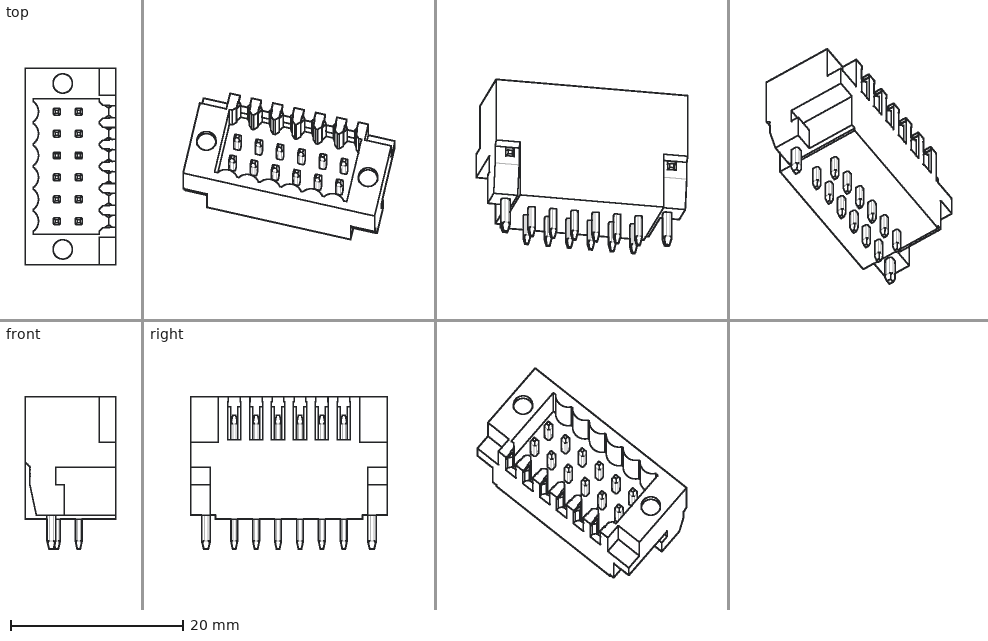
import cadquery as cq


depth = 10.5
length = 22.8
height = 14.2
half_length = length / 2

rows = 6
row_span = 12.7
pitch = row_span / (rows - 1)
first_column_x = 3.67
column_x = (first_column_x, first_column_x + pitch)
row_y = [i * pitch - row_span / 2 for i in range(rows)]
pin_low = -3.49
pin_high = 12.04
pin_width = 0.8
pin_corner = 0.2
pin_tip = 0.36
taper = 1.0

cavity_floor = 7.0
cavity_half_length = 7.87
cavity_x0 = 0.95
cavity_x1 = 8.6
scallop_chord = 2.33
scallop_rise = 0.6

groove_x = 9.71
web_top = 9.2
slot_width = 1.53
lip_slot_width = 1.37
throat_width = 0.85
lip_height = 0.6
ridge_drop = 1.16
ridge_x0 = 9.17
ridge_x1 = 10.17
finger_nose = pitch - scallop_chord
nose_length = (pitch - slot_width - finger_nose) / 2

end_length = 2.85
end_bottom = 0.45
latch_notch_length = 3.17
latch_notch_floor = 8.94
side_notch_length = 2.28
side_notch_top = 6.02
side_notch_step = 4.0
side_notch_x0 = 3.53
side_notch_x1 = 4.51
relief_depth = 0.55
relief_top = 6.61
relief_slope_top = 4.0
relief_foot = 1.3
hole_x = 4.35
hole_diameter = 2.23
hole_depth = 1.0

anchor_x = 3.03
anchor_y = 9.62
anchor_width = 1.03
anchor_corner = 0.3
anchor_tip = 0.52
anchor_root = 3.42
anchor_head_z = 5.5
anchor_head_tip = 0.45


def block(x0, x1, y0, y1, z0, z1):
    """Box given by its limits along each axis."""
    return cq.Workplane("XY").box(x1 - x0, y1 - y0, z1 - z0, centered=False).translate((x0, y0, z0))


def side_prism(points, y0, y1):
    """XZ outline extruded from y0 to y1."""
    return cq.Workplane("XZ", origin=(0, y0, 0)).polyline(points).close().extrude(y0 - y1)


def plan_prism(points, z0, z1):
    """XY outline extruded from z0 to z1."""
    return cq.Workplane("XY", origin=(0, 0, z0)).polyline(points).close().extrude(z1 - z0)


def pin(width, corner, tip, z0, z1, point_top):
    """Square pin with rounded corners, pointed below and, if asked, above."""
    half = width / 2
    half_tip = tip / 2
    outline = [(-half_tip, z0), (half_tip, z0), (half, z0 + taper)]
    if point_top:
        outline += [(half, z1 - taper), (half_tip, z1), (-half_tip, z1), (-half, z1 - taper)]
    else:
        outline += [(half, z1), (-half, z1)]
    outline += [(-half, z0 + taper)]
    bar = block(-half, half, -half, half, z0, z1).edges("|Z").fillet(corner)
    wedge = side_prism(outline, -half, half)
    return bar.intersect(wedge).intersect(wedge.rotate((0, 0, 0), (0, 0, 1), 90))


def cavity():
    """Rectangular well whose plain wall bulges inward at every row."""
    well = block(cavity_x0, cavity_x1, -cavity_half_length, cavity_half_length, cavity_floor, height)
    for y in row_y:
        bulge = (
            cq.Workplane("XY", origin=(0, 0, cavity_floor))
            .moveTo(cavity_x0, y - scallop_chord / 2)
            .threePointArc((cavity_x0 + scallop_rise, y), (cavity_x0, y + scallop_chord / 2))
            .close()
            .extrude(height - cavity_floor)
        )
        well = well.cut(bulge)
    return well


def finger_slot(y):
    """Opening between two fingers: flared mouth, throat under the ridges, narrower lip at the top."""
    mouth = scallop_chord / 2
    half = slot_width / 2
    half_lip = lip_slot_width / 2
    half_throat = throat_width / 2
    ridge_top = height - ridge_drop
    lip_bottom = height - lip_height

    x_mouth = cavity_x1 + nose_length
    flare = [(cavity_x1, y - mouth), (x_mouth, y - half), (x_mouth, y + half), (cavity_x1, y + mouth)]
    slot = plan_prism(flare, cavity_floor, height)
    slot = slot.union(block(x_mouth, ridge_x0, y - half, y + half, cavity_floor, height))
    slot = slot.union(block(ridge_x0, groove_x, y - half, y + half, ridge_top, height))
    slot = slot.union(block(groove_x, depth, y - half, y + half, ridge_top, lip_bottom))
    slot = slot.union(block(groove_x, depth, y - half_lip, y + half_lip, lip_bottom, height))

    inner = [
        (ridge_x0, y - half), (groove_x, y - half_throat),
        (groove_x, y + half_throat), (ridge_x0, y + half),
    ]
    outer = [
        (groove_x, y - half_throat), (ridge_x1, y - half), (depth, y - half),
        (depth, y + half), (ridge_x1, y + half), (groove_x, y + half_throat),
    ]
    slot = slot.union(plan_prism(inner, cavity_floor, ridge_top))
    return slot.union(plan_prism(outer, web_top, ridge_top))


def end_cuts():
    """All material removed from the -Y end block."""
    y0 = -half_length
    y_end = y0 + end_length
    relief = [
        (0, 0), (0, relief_top), (relief_depth, relief_top - relief_depth),
        (relief_depth, relief_slope_top), (relief_foot, end_bottom), (relief_foot, 0),
    ]
    side_notch = [
        (side_notch_x1, 0), (side_notch_x1, side_notch_step), (side_notch_x0, side_notch_step),
        (side_notch_x0, side_notch_top), (depth, side_notch_top), (depth, 0),
    ]
    hole = (
        cq.Workplane("XY", origin=(hole_x, -anchor_y, height - hole_depth))
        .circle(hole_diameter / 2)
        .extrude(hole_depth)
    )
    cuts = side_prism(relief, y0, y_end)
    cuts = cuts.union(block(0, depth, y0, y_end, 0, end_bottom))
    cuts = cuts.union(side_prism(side_notch, y0, y0 + side_notch_length))
    cuts = cuts.union(block(cavity_x1, depth, y0, y0 + latch_notch_length, latch_notch_floor, height))
    return cuts.union(hole).union(anchor_head_gap())


def anchor_head_gap():
    """Gap round the tapered horizontal end of the anchor pin, whose tip is flush with the relief."""
    head = (
        cq.Workplane("YZ", origin=(relief_depth, -anchor_y, anchor_head_z))
        .rect(anchor_head_tip, anchor_head_tip)
        .workplane(offset=taper)
        .rect(anchor_width, anchor_width)
        .loft()
    )
    pocket = (
        cq.Workplane("YZ", origin=(relief_depth, -anchor_y, anchor_head_z))
        .rect(anchor_width, anchor_width)
        .extrude(taper)
    )
    return pocket.cut(head)


housing = block(0, depth, -half_length, half_length, 0, height)
housing = housing.cut(cavity())
for y in row_y:
    housing = housing.cut(finger_slot(y))

near_end = end_cuts()
housing = housing.cut(near_end).cut(near_end.mirror("XZ"))

contact = pin(pin_width, pin_corner, pin_tip, pin_low, pin_high, True)
for x in column_x:
    for y in row_y:
        housing = housing.union(contact.translate((x, y, 0)))

anchor = pin(anchor_width, anchor_corner, anchor_tip, pin_low, anchor_root, False)
for y in (-anchor_y, anchor_y):
    housing = housing.union(anchor.translate((anchor_x, y, 0)))

result = housing